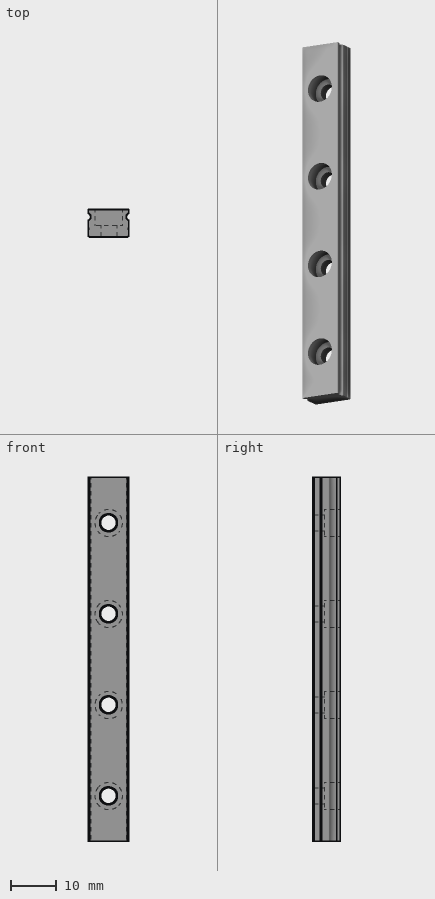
import cadquery as cq

width = 9.0
height = 6.1
length = 80.0

base_chamfer = 0.3
head_radius = 0.2

groove_offset = 1.6
groove_opening = 1.6
groove_depth = 0.6
groove_low_lip_radius = 0.3

line_offset = 4.2
line_width = 0.2
line_depth = 0.1

hole_count = 4
hole_pitch = length / hole_count
hole_diameter = 3.5
hole_chamfer = 0.2
counterbore_diameter = 6.0
counterbore_depth = 3.5

half_width = width / 2
base_y = -height / 2
head_y = height / 2
groove_y = head_y - groove_offset


def rail_body():
    """Rail cross-section extruded along Z, centred on the origin."""
    groove_low = groove_y - groove_opening / 2
    groove_high = groove_y + groove_opening / 2
    groove_floor = half_width - groove_depth
    body = (
        cq.Workplane("XY")
        .workplane(offset=-length / 2)
        .moveTo(-half_width + base_chamfer, base_y)
        .lineTo(half_width - base_chamfer, base_y)
        .lineTo(half_width, base_y + base_chamfer)
        .lineTo(half_width, groove_low)
        .threePointArc((groove_floor, groove_y), (half_width, groove_high))
        .lineTo(half_width, head_y - head_radius)
        .radiusArc((half_width - head_radius, head_y), -head_radius)
        .lineTo(-half_width + head_radius, head_y)
        .radiusArc((-half_width, head_y - head_radius), -head_radius)
        .lineTo(-half_width, groove_high)
        .threePointArc((-groove_floor, groove_y), (-half_width, groove_low))
        .lineTo(-half_width, base_y + base_chamfer)
        .close()
        .extrude(length)
    )
    for x in (-half_width, half_width):
        lip_edge = cq.selectors.NearestToPointSelector((x, groove_low, 0))
        body = body.edges(lip_edge).fillet(groove_low_lip_radius)
    return body


def side_lines():
    """Pair of cutters for the shallow lines on the two sides."""
    return (
        cq.Workplane("XY")
        .pushPoints([(-half_width, head_y - line_offset), (half_width, head_y - line_offset)])
        .rect(2 * line_depth, line_width)
        .extrude(length / 2, both=True)
    )


def mounting_hole(z):
    """Stepped cutter along Y with a chamfered mouth on the base face."""
    bore_radius = hole_diameter / 2
    mouth_radius = bore_radius + hole_chamfer
    counterbore_radius = counterbore_diameter / 2
    counterbore_floor = head_y - counterbore_depth
    return (
        cq.Workplane("XY")
        .moveTo(0, base_y)
        .lineTo(mouth_radius, base_y)
        .lineTo(bore_radius, base_y + hole_chamfer)
        .lineTo(bore_radius, counterbore_floor)
        .lineTo(counterbore_radius, counterbore_floor)
        .lineTo(counterbore_radius, head_y)
        .lineTo(0, head_y)
        .close()
        .revolve(360, (0, 0, 0), (0, 1, 0))
        .translate((0, 0, z))
    )


result = rail_body().cut(side_lines())
for index in range(hole_count):
    hole_z = (index - (hole_count - 1) / 2) * hole_pitch
    result = result.cut(mounting_hole(hole_z))